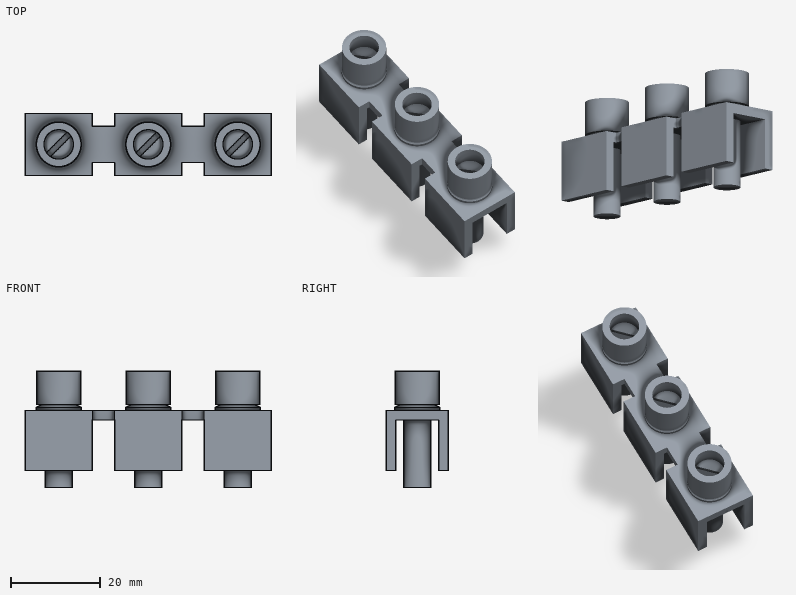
import cadquery as cq

saddle_count = 3
total_length = 55.0
neck_length = 5.0
saddle_length = (total_length - (saddle_count - 1) * neck_length) / saddle_count
pitch = saddle_length + neck_length
bar_width = 13.9
neck_width = 8.15
saddle_height = 13.5
plate_thickness = 2.2
wall_thickness = 2.2

total_height = 26.0
shank_radius = 3.0
shank_projection = 3.8
head_radius = 4.95
head_height = 7.5
recess_radius = 3.3
recess_depth = 4.0
slot_width = 1.25
slot_depth = 1.0
slot_angle = 45.0

washer_radius = 5.05
washer_top_radius = 3.85
washer_rim_height = 0.65

saddle_bottom = -saddle_height
shank_bottom = saddle_bottom - shank_projection
head_top = shank_bottom + total_height
head_bottom = head_top - head_height
recess_floor = head_top - recess_depth


def make_bar():
    """Channel bar with both long sides notched down to the necks."""
    bar = cq.Workplane("XY").box(total_length, bar_width, saddle_height, centered=(True, True, False))
    bar = bar.translate((0, 0, saddle_bottom))
    channel = cq.Workplane("XY").box(
        total_length, bar_width - 2 * wall_thickness, saddle_height - plate_thickness,
        centered=(True, True, False),
    ).translate((0, 0, saddle_bottom))
    bar = bar.cut(channel)

    side_notch_depth = (bar_width - neck_width) / 2
    notch_center_y = (bar_width - side_notch_depth) / 2
    for gap in range(saddle_count - 1):
        gap_x = (gap - (saddle_count - 2) / 2) * pitch
        for side in (-1, 1):
            notch = cq.Workplane("XY").box(
                neck_length, side_notch_depth, saddle_height, centered=(True, True, False)
            )
            bar = bar.cut(notch.translate((gap_x, side * notch_center_y, saddle_bottom)))
    return bar


def make_screw():
    """Shank, washer and recessed head revolved together, with a driver slot in the recess floor."""
    half_section = [
        (0, shank_bottom),
        (shank_radius, shank_bottom),
        (shank_radius, 0),
        (washer_radius, 0),
        (washer_radius, washer_rim_height),
        (washer_top_radius, head_bottom),
        (head_radius, head_bottom),
        (head_radius, head_top),
        (recess_radius, head_top),
        (recess_radius, recess_floor),
        (0, recess_floor),
    ]
    screw = cq.Workplane("XZ").polyline(half_section).close().revolve(360, (0, 0), (0, 1))

    slot_bar = cq.Workplane("XY").box(
        2 * recess_radius, slot_width, slot_depth, centered=(True, True, False)
    ).rotate((0, 0, 0), (0, 0, 1), slot_angle)
    slot_limit = cq.Workplane("XY").circle(recess_radius).extrude(slot_depth)
    slot = slot_bar.intersect(slot_limit)
    return screw.cut(slot.translate((0, 0, recess_floor - slot_depth)))


result = make_bar()
screw = make_screw()
for position in range(saddle_count):
    screw_x = (position - (saddle_count - 1) / 2) * pitch
    result = result.union(screw.translate((screw_x, 0, 0)))